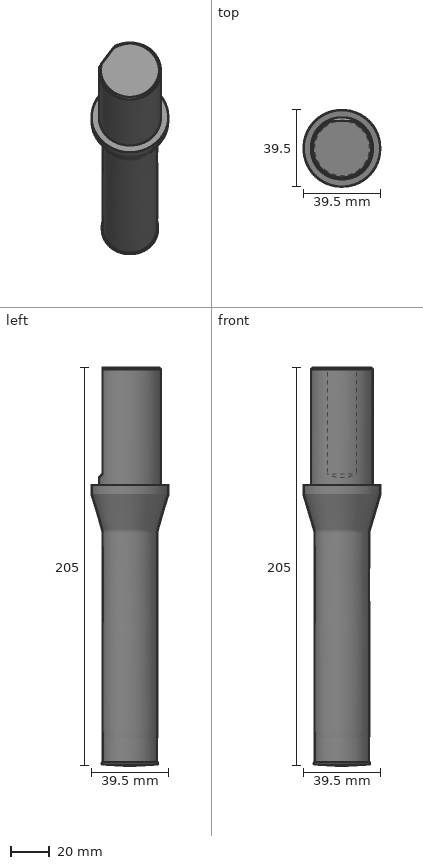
import cadquery as cq
import math

total_height = 205.0
shank_base = 144.7
collar_base = 139.8
fillet_base = 120.0
waist_top = 115.0
waist_bottom = 71.8
nose_taper_top = 17.6
nose_taper_bottom = 14.5
tip_top = 2.0
tip_rim_middle = 1.5
tip_rim_bottom = 0.8

shank_diameter = 32.0
collar_diameter = 39.5
body_diameter = 28.3
waist_diameter = 28.0
nose_diameter = 28.0
tip_diameter = 29.1

shank_chamfer = 1.0
flat_distance = 14.1
flat_bottom = 148.5

neck_fillet_radius = 6.5

shank_radius = shank_diameter / 2
collar_radius = collar_diameter / 2
body_radius = body_diameter / 2
waist_radius = waist_diameter / 2
nose_radius = nose_diameter / 2
tip_radius = tip_diameter / 2
waist_middle = (waist_top + waist_bottom) / 2

fillet_center_offset = body_radius + neck_fillet_radius - collar_radius
cone_drop = collar_base - fillet_base
center_distance = math.hypot(fillet_center_offset, cone_drop)
cone_angle = math.degrees(
    math.asin(neck_fillet_radius / center_distance) - math.atan2(fillet_center_offset, cone_drop)
)


def neck_fillet_point(angle):
    """Point on the concave neck fillet, turned by angle (degrees) from its lower end."""
    turn = math.radians(angle)
    radius = body_radius + neck_fillet_radius * (1 - math.cos(turn))
    height = fillet_base + neck_fillet_radius * math.sin(turn)
    return radius, height


def make_holder():
    """Turned holder: shank, collar, cone, waisted body and nose."""
    profile = (
        cq.Workplane("XZ")
        .moveTo(0, tip_top)
        .lineTo(nose_radius, tip_top)
        .lineTo(nose_radius, nose_taper_bottom)
        .lineTo(body_radius, nose_taper_top)
        .lineTo(body_radius, waist_bottom)
        .threePointArc((waist_radius, waist_middle), (body_radius, waist_top))
        .lineTo(body_radius, fillet_base)
        .threePointArc(neck_fillet_point(cone_angle / 2), neck_fillet_point(cone_angle))
        .lineTo(collar_radius, collar_base)
        .lineTo(collar_radius, shank_base)
        .lineTo(shank_radius, shank_base)
        .lineTo(shank_radius, total_height - shank_chamfer)
        .lineTo(shank_radius - shank_chamfer, total_height)
        .lineTo(0, total_height)
        .close()
    )
    turned = profile.revolve(360, (0, 0, 0), (0, 1, 0))
    return turned.cut(make_flat_cutter())


def make_flat_cutter():
    """Material removed for the clamping flat on +Y, with a 45 degree run-out at its foot."""
    depth = shank_radius - flat_distance
    return (
        cq.Workplane("YZ")
        .moveTo(flat_distance, total_height)
        .lineTo(flat_distance, flat_bottom + depth)
        .lineTo(shank_radius, flat_bottom)
        .lineTo(shank_radius, total_height)
        .close()
        .extrude(shank_radius, both=True)
    )


def make_cutting_tip():
    """Thin cutting disc with a rounded rim and a shallow conical point."""
    return (
        cq.Workplane("XZ")
        .moveTo(0, 0)
        .lineTo(nose_radius, tip_rim_bottom)
        .threePointArc((tip_radius, tip_rim_middle), (nose_radius, tip_top))
        .lineTo(0, tip_top)
        .close()
        .revolve(360, (0, 0, 0), (0, 1, 0))
    )


holder = make_holder()
cutting_tip = make_cutting_tip()

result = cq.Compound.makeCompound([holder.val(), cutting_tip.val()])